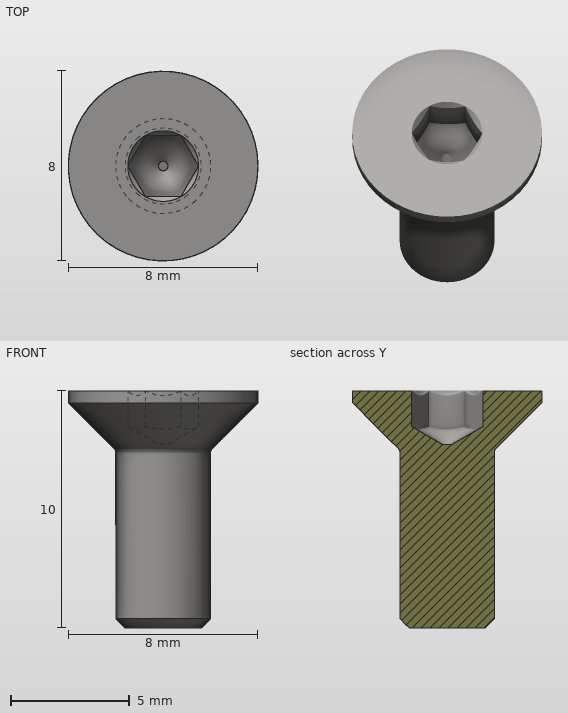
import cadquery as cq
import math

total_length = 10.0
head_diameter = 8.0
shank_diameter = 4.0
rim_height = 0.5
neck_fillet_radius = 0.2
tip_chamfer = 0.4

socket_across_flats = 2.58
socket_depth = 1.5
lead_in_slope_angle = 45.0
floor_slope_angle = 30.0
floor_flat_diameter = 0.4

head_radius = head_diameter / 2
shank_radius = shank_diameter / 2
head_height = rim_height + head_radius - shank_radius

socket_corner_radius = socket_across_flats / math.sqrt(3)
socket_flat_radius = socket_across_flats / 2
floor_flat_radius = floor_flat_diameter / 2


def make_body():
    """Revolved head and shank with a filleted neck and a chamfered tip."""
    neck_z = total_length - head_height
    profile = (
        cq.Workplane("XZ")
        .moveTo(0, 0)
        .lineTo(shank_radius - tip_chamfer, 0)
        .lineTo(shank_radius, tip_chamfer)
        .lineTo(shank_radius, neck_z)
        .lineTo(head_radius, total_length - rim_height)
        .lineTo(head_radius, total_length)
        .lineTo(0, total_length)
        .close()
    )
    body = profile.revolve(360, (0, 0, 0), (0, 1, 0))
    edge_margin = 0.01
    neck_edge = cq.selectors.BoxSelector(
        (-head_radius, -head_radius, neck_z - edge_margin),
        (head_radius, head_radius, neck_z + edge_margin),
    )
    return body.edges(neck_edge).fillet(neck_fillet_radius)


def cone_height(large_radius, small_radius, slope_angle):
    """Height of a truncated cone whose slope is measured from horizontal."""
    return (large_radius - small_radius) * math.tan(math.radians(slope_angle))


def make_socket():
    """Hexagonal hole with a conical floor, joined to the lead-in countersink."""
    corner_bottom_z = total_length - socket_depth
    floor_z = corner_bottom_z - cone_height(socket_corner_radius, floor_flat_radius, floor_slope_angle)
    hexagon = (
        cq.Workplane("XY", origin=(0, 0, floor_z))
        .polygon(6, 2 * socket_corner_radius)
        .extrude(total_length - floor_z)
    )
    envelope = (
        cq.Workplane("XZ")
        .moveTo(0, floor_z)
        .lineTo(floor_flat_radius, floor_z)
        .lineTo(socket_corner_radius, corner_bottom_z)
        .lineTo(socket_corner_radius, total_length)
        .lineTo(0, total_length)
        .close()
        .revolve(360, (0, 0, 0), (0, 1, 0))
    )
    lead_in_depth = cone_height(socket_corner_radius, socket_flat_radius, lead_in_slope_angle)
    lead_in = (
        cq.Workplane("XZ")
        .moveTo(0, total_length - lead_in_depth)
        .lineTo(socket_flat_radius, total_length - lead_in_depth)
        .lineTo(socket_corner_radius, total_length)
        .lineTo(0, total_length)
        .close()
        .revolve(360, (0, 0, 0), (0, 1, 0))
    )
    return hexagon.intersect(envelope).union(lead_in)


result = make_body().cut(make_socket())